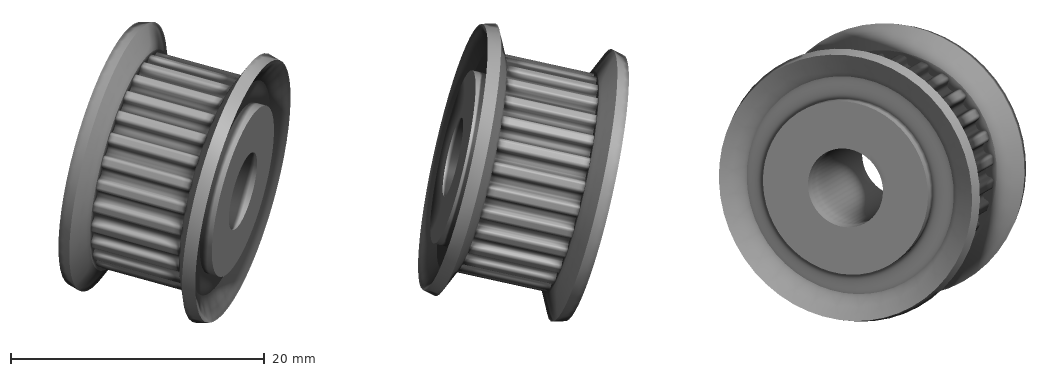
import cadquery as cq
import math

outer_diameter = 22.0
total_length = 11.5
bore_diameter = 6.35
hub_diameter = 14.0

flange_dish_depth = 1.01
flange_floor_thickness = 1.0
flange_outer_rim_diameter = 21.47
flange_floor_diameter = 17.55
flange_inner_face_diameter = 18.08

tooth_count = 28
tip_diameter = 17.6
groove_depth = 0.68
groove_bottom_width = 0.65
flank_angle = 20.0
root_fillet = 0.3
tip_fillet = 0.29

half_length = total_length / 2
floor_x = half_length - flange_dish_depth
inner_face_x = floor_x - flange_floor_thickness
rim_width = 2 * inner_face_x
hub_radius = hub_diameter / 2
tip_radius = tip_diameter / 2
root_radius = tip_radius - groove_depth


def make_flanged_hub():
    """Revolve the bored hub and both dished flanges about X."""
    right_half = [
        (inner_face_x, hub_radius),
        (inner_face_x, flange_inner_face_diameter / 2),
        (floor_x, outer_diameter / 2),
        (half_length, flange_outer_rim_diameter / 2),
        (floor_x, flange_floor_diameter / 2),
        (floor_x, hub_radius),
        (half_length, hub_radius),
        (half_length, bore_diameter / 2),
    ]
    left_half = [(-x, radius) for x, radius in reversed(right_half)]
    profile = cq.Workplane("XZ").polyline(right_half + left_half).close()
    return profile.revolve(360, (0, 0, 0), (1, 0, 0))


def make_groove(plane):
    """Straight-flanked cutter for the belt groove that faces +Z."""
    cut_height = 2 * groove_depth
    half_bottom = groove_bottom_width / 2
    half_top = half_bottom + cut_height * math.tan(math.radians(flank_angle))
    outline = [
        (-half_bottom, root_radius),
        (half_bottom, root_radius),
        (half_top, root_radius + cut_height),
        (-half_top, root_radius + cut_height),
    ]
    return plane.polyline(outline).close().extrude(rim_width)


def axial_edges(rim, smallest_radius, largest_radius):
    """Edges parallel to X whose distance from the axis is in the given range."""
    chosen = [
        edge for edge in rim.edges("|X").vals()
        if smallest_radius < math.hypot(edge.Center().y, edge.Center().z) < largest_radius
    ]
    return rim.newObject(chosen)


def make_toothed_rim():
    """Ring around the hub with rounded belt grooves, one of them facing +Z."""
    plane = cq.Workplane("YZ", origin=(-inner_face_x, 0, 0))
    rim = plane.circle(tip_radius).circle(hub_radius).extrude(rim_width)
    groove = make_groove(plane)
    for index in range(tooth_count):
        angle = index * 360 / tooth_count
        rim = rim.cut(groove.rotate((0, 0, 0), (1, 0, 0), angle))

    middle_radius = (root_radius + tip_radius) / 2
    inner_radius = (hub_radius + root_radius) / 2
    rim = axial_edges(rim, inner_radius, middle_radius).fillet(root_fillet)
    tip_zone_radius = tip_radius - groove_depth / 10
    return axial_edges(rim, tip_zone_radius, outer_diameter / 2).fillet(tip_fillet)


result = make_flanged_hub().union(make_toothed_rim())